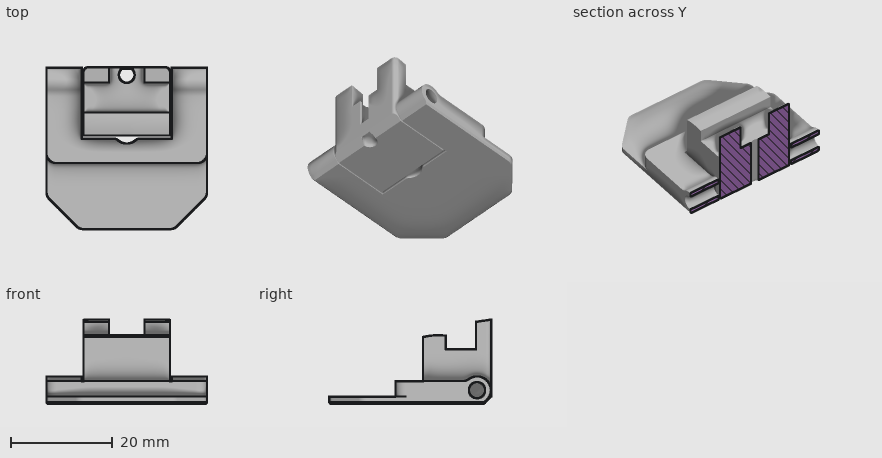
import cadquery as cq
import math


base_width = 31.6
base_front_y = -31.87
base_top_z = 4.5
plate_top_z = 1.47
step_front_y = -18.87
plan_corner_radius = 2.0
front_corner_cut = 6.5
underside_chamfer = 0.35

hinge_y = -2.8
hinge_z = 2.7
barrel_radius = 2.7
barrel_blend_radius = 2.0
hinge_hole_diameter = 3.2

block_width = 17.08
block_front_y = -13.45
block_top_z = 16.6
block_rear_chamfer = 1.53
block_corner_radius = 1.0
prong_front_y = -3.05
prong_front_z = 16.15
prong_gap = 6.88
floor_z = 10.77
ridge_rear_y = -8.95
ridge_rear_z = 13.45
ridge_crest_y = -10.75
ridge_crest_z = 13.55
ridge_front_z = 13.15

side_gap = 0.25
front_gap = 0.57
slot_width = block_width + 2 * side_gap
slot_front_y = block_front_y - front_gap

notch_depth = 0.95
notch_radius = 2.7
notch_blend_radius = 1.18

rear_hole_diameter = 3.05
rear_hole_y = -rear_hole_diameter / 2
rear_slot_width = 2.33
lip_thickness = 0.32
lip_top_z = base_top_z

def box(width, rear_y, front_y, bottom_z, top_z):
    """Box centred on X = 0."""
    return cq.Workplane("XY").box(
        width, rear_y - front_y, top_z - bottom_z, centered=(True, False, False)
    ).translate((0, front_y, bottom_z))


def bulge_points(height, radius, blend_radius):
    """Half outline of an arc that rises from a flat through a concave blend.

    The points run from the crest to the flat, as (offset across, offset down from the crest):
    the middle and end of the crest arc, then the middle and end of the blend arc.
    """
    reach = radius + blend_radius
    angle = math.acos((reach - height) / reach)
    half_width = reach * math.sin(angle)

    def on_crest(turn):
        return radius * math.sin(turn), radius * (1 - math.cos(turn))

    def on_blend(turn):
        return half_width - blend_radius * math.sin(turn), height - blend_radius * (1 - math.cos(turn))

    return on_crest(angle / 2), on_crest(angle), on_blend(angle / 2), on_blend(0)


def make_plate():
    half_width = base_width / 2
    outline = [
        (-half_width, hinge_y),
        (-half_width, base_front_y + front_corner_cut),
        (-half_width + front_corner_cut, base_front_y),
        (half_width - front_corner_cut, base_front_y),
        (half_width, base_front_y + front_corner_cut),
        (half_width, hinge_y),
    ]
    plate = cq.Workplane("XY").polyline(outline).close().extrude(plate_top_z)
    return plate.edges("|Z and (not >Y)").fillet(plan_corner_radius)


def make_step():
    step = box(base_width, hinge_y, step_front_y, 0, base_top_z)
    return step.edges("|Z and <Y").fillet(plan_corner_radius)


def make_barrel():
    """Full-width barrel with its front blend and a 45-degree tangent flat under its rear."""
    crest_z = hinge_z + barrel_radius
    outline = bulge_points(crest_z - base_top_z, barrel_radius, barrel_blend_radius)
    arc_middle, arc_end, blend_middle, blend_end = [
        (hinge_y - across, crest_z - down) for across, down in outline
    ]
    flat_offset = barrel_radius * math.sqrt(0.5)
    flat_top = (hinge_y + flat_offset, hinge_z - flat_offset)
    flat_foot_y = flat_top[0] - flat_top[1]
    return (
        cq.Workplane("YZ")
        .moveTo(flat_foot_y, 0)
        .lineTo(*flat_top)
        .threePointArc((hinge_y + barrel_radius, hinge_z), (hinge_y, crest_z))
        .threePointArc(arc_middle, arc_end)
        .threePointArc(blend_middle, blend_end)
        .lineTo(blend_end[0], 0)
        .close()
        .extrude(base_width / 2, both=True)
    )


def make_finger_notch():
    """Rounded notch in the front wall of the slot, through the full height of the base."""
    crest_y = slot_front_y - notch_depth
    outline = bulge_points(notch_depth, notch_radius, notch_blend_radius)
    _, arc_end, blend_middle, blend_end = [(across, crest_y + down) for across, down in outline]

    def mirrored(point):
        return -point[0], point[1]

    return (
        cq.Workplane("XY")
        .moveTo(*mirrored(blend_end))
        .threePointArc(mirrored(blend_middle), mirrored(arc_end))
        .threePointArc((0, crest_y), arc_end)
        .threePointArc(blend_middle, blend_end)
        .close()
        .extrude(base_top_z)
    )


def make_base():
    base = make_plate().union(make_step()).union(make_barrel()).clean()
    base = base.faces("<Z").edges("not >Y").chamfer(underside_chamfer)

    slot = box(slot_width, 0, slot_front_y, 0, hinge_z + barrel_radius)
    hinge_hole = (
        cq.Workplane("YZ")
        .center(hinge_y, hinge_z)
        .circle(hinge_hole_diameter / 2)
        .extrude(base_width / 2, both=True)
    )
    return base.cut(slot).cut(make_finger_notch()).cut(hinge_hole)


def make_block_body():
    """Side profile with rear prong, flat floor and rounded front ridge."""
    body = (
        cq.Workplane("YZ")
        .moveTo(-block_rear_chamfer, 0)
        .lineTo(0, block_rear_chamfer)
        .lineTo(0, block_top_z)
        .lineTo(prong_front_y, prong_front_z)
        .lineTo(prong_front_y, floor_z)
        .lineTo(ridge_rear_y, floor_z)
        .lineTo(ridge_rear_y, ridge_rear_z)
        .threePointArc((ridge_crest_y, ridge_crest_z), (block_front_y, ridge_front_z))
        .lineTo(block_front_y, 0)
        .close()
        .extrude(block_width / 2, both=True)
    )
    return body.edges("|Z and >Y").fillet(block_corner_radius)


def make_block():
    prong_opening = box(prong_gap, 0, prong_front_y, floor_z, block_top_z)
    rear_hole = (
        cq.Workplane("XY").center(0, rear_hole_y).circle(rear_hole_diameter / 2).extrude(floor_z)
    )
    hole_slot = box(rear_slot_width, -lip_thickness, rear_hole_y, 0, floor_z)
    slot_mouth = box(rear_slot_width, 0, rear_hole_y, lip_top_z, floor_z)

    lip = box(rear_hole_diameter, 0, -lip_thickness, 0, lip_top_z)
    hole = rear_hole.cut(lip).union(hole_slot).union(slot_mouth)
    return make_block_body().cut(prong_opening).cut(hole)


base = make_base()
block = make_block()

result = cq.Compound.makeCompound([base.val(), block.val()])